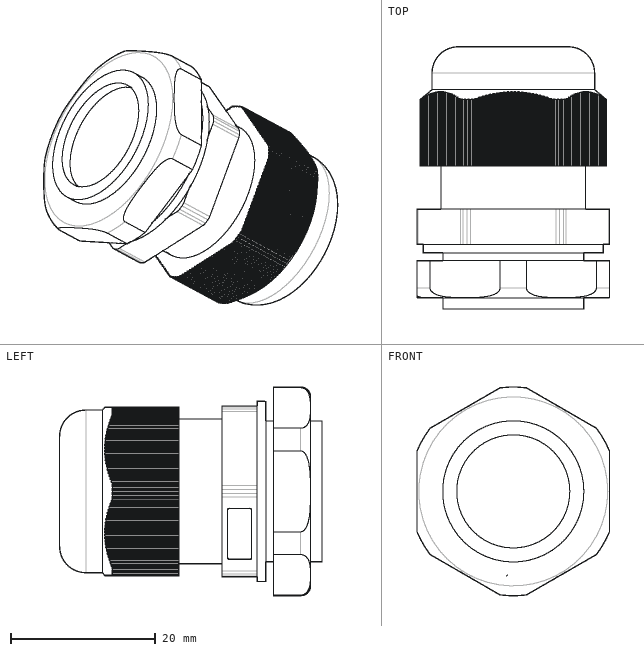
import cadquery as cq
import math

total_length = 36.4

thread_diameter = 19.6
bore_diameter = 15.7
bore_depth = 1.5

locknut_front = 1.55
locknut_back = 6.75
locknut_flats = 26.7
locknut_corner_diameter = 28.97
locknut_edge_radius = 1.4

ring_front = 7.8
ring_diameter = 25.0
body_front = 9.0
body_back = 13.87
body_flats = 23.7
body_corner_width = 26.7
body_corner_radius = 1.0

recess_length = 8.2
recess_width = 3.3
recess_corner_radius = 0.25
recess_depth = 0.2

neck_diameter = 20.1

cap_front = 19.85
cap_cone_start = 29.05
cap_cone_end = 30.43
cap_flats = 23.45
cap_corner_diameter = 25.88
dome_diameter = 22.6
dome_radius = 3.68
groove_width = 0.35
groove_floor_width = 0.127
groove_depth = 0.1
grooves_per_flat = 22
grooves_per_corner = 4

HEX_SIDES = 6
HEX_STEP = 360.0 / HEX_SIDES


def plane_at(y):
    """XZ sketch plane at position y whose extrusions run toward +Y; local y is -Z."""
    return cq.Workplane(cq.Plane(origin=(0, y, 0), xDir=(1, 0, 0), normal=(0, 1, 0)))


def cylinder(diameter, start, end):
    return plane_at(start).circle(diameter / 2).extrude(end - start)


def hexagon(flats, start, end, turn=0.0):
    """Hexagonal prism; corners point along X unless turned about Y."""
    corner_diameter = flats / math.cos(math.radians(HEX_STEP / 2))
    prism = plane_at(start).polygon(HEX_SIDES, corner_diameter).extrude(end - start)
    return prism.rotate((0, 0, 0), (0, 1, 0), turn)


def make_locknut():
    """Hexagon with flats facing X, its corners turned down to a round, rounded front edge."""
    blank = cylinder(locknut_corner_diameter, locknut_front, locknut_back)
    blank = blank.faces("<Y").edges().fillet(locknut_edge_radius)
    return blank.intersect(hexagon(locknut_flats, locknut_front, locknut_back, HEX_STEP / 2))


def make_body():
    """Hexagon with corners facing X; each corner is cut flat and both new edges rounded."""
    body = hexagon(body_flats, body_front, body_back)
    body = body.intersect(hexagon(body_corner_width, body_front, body_back, HEX_STEP / 2))
    body = body.edges("|Y").fillet(body_corner_radius)
    middle = (body_front + body_back) / 2
    recess = (
        cq.Workplane("XY", origin=(0, middle, body_flats / 2 - recess_depth))
        .rect(recess_length, recess_width)
        .extrude(2 * recess_depth)
        .edges("|Z")
        .fillet(recess_corner_radius)
    )
    return body.cut(recess.rotate((0, 0, 0), (0, 1, 0), -2 * HEX_STEP))


def groove_points(x, z, angle):
    """Tapered groove centred at (x, z) on a surface whose outward normal lies at the given angle."""
    normal_x = math.cos(angle)
    normal_z = math.sin(angle)
    half_mouth = groove_width / 2
    half_floor = groove_floor_width / 2
    profile = [(-half_mouth, 0), (-half_floor, groove_depth), (half_floor, groove_depth), (half_mouth, 0)]
    return [
        (x - normal_z * along - normal_x * depth, z + normal_x * along - normal_z * depth)
        for along, depth in profile
    ]


def serrated_outline():
    """Closed outline of a hexagon with rounded corners, grooves spread evenly along flats and corners."""
    apothem = cap_flats / 2
    corner_radius = cap_corner_diameter / 2
    half_flat_angle = math.acos(apothem / corner_radius)
    flat_pitch = 2 * corner_radius * math.sin(half_flat_angle) / grooves_per_flat
    corner_pitch_angle = (math.radians(HEX_STEP) - 2 * half_flat_angle) / grooves_per_corner
    points = []
    for side in range(HEX_SIDES):
        flat_angle = math.radians((side + 0.5) * HEX_STEP)
        for index in range(grooves_per_flat):
            offset = (index - (grooves_per_flat - 1) / 2) * flat_pitch
            x = apothem * math.cos(flat_angle) - offset * math.sin(flat_angle)
            z = apothem * math.sin(flat_angle) + offset * math.cos(flat_angle)
            points += groove_points(x, z, flat_angle)
        corner_angle = math.radians((side + 1) * HEX_STEP)
        for index in range(grooves_per_corner):
            angle = corner_angle + (index - (grooves_per_corner - 1) / 2) * corner_pitch_angle
            x = corner_radius * math.cos(angle)
            z = corner_radius * math.sin(angle)
            points += groove_points(x, z, angle)
    return points


def make_cap():
    """Serrated grip with a conical shoulder, followed by a domed cylinder."""
    grip = plane_at(cap_front).polyline(serrated_outline()).close().extrude(cap_cone_end - cap_front)
    envelope = (
        cq.Workplane("XY")
        .moveTo(0, cap_front)
        .lineTo(cap_corner_diameter / 2, cap_front)
        .lineTo(cap_corner_diameter / 2, cap_cone_start)
        .lineTo(dome_diameter / 2, cap_cone_end)
        .lineTo(0, cap_cone_end)
        .close()
        .revolve(360, (0, 0, 0), (0, 1, 0))
    )
    dome = cylinder(dome_diameter, cap_front, total_length)
    dome = dome.faces(">Y").edges().fillet(dome_radius)
    return grip.intersect(envelope).union(dome)


gland = cylinder(thread_diameter, 0, ring_front)
gland = gland.union(make_locknut())
gland = gland.union(cylinder(ring_diameter, ring_front, body_front))
gland = gland.union(make_body())
gland = gland.union(cylinder(neck_diameter, body_back, cap_front))
gland = gland.union(make_cap())
result = gland.cut(cylinder(bore_diameter, 0, bore_depth))